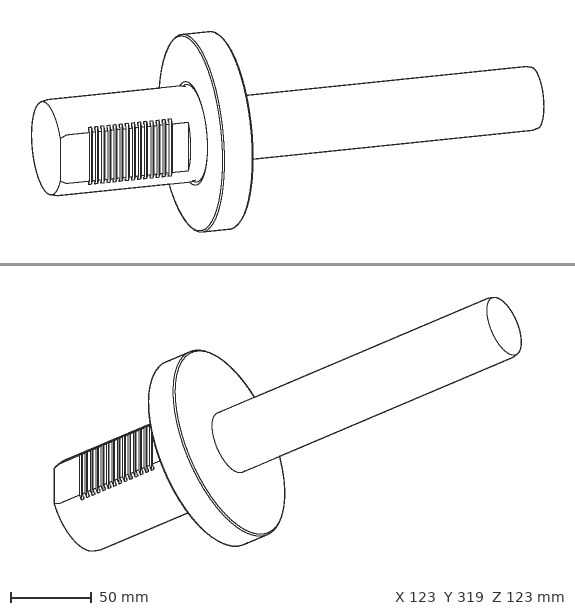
import cadquery as cq
import math

total_length = 319.0
flange_diameter = 123.0
flange_thickness = 20.0
flange_chamfer = 1.0
rod_diameter = 40.0
journal_diameter = 60.0
journal_length = 94.0

rod_taper_length = 3.2
rod_tip_diameter = 38.3
journal_taper_length = 4.0
journal_tip_diameter = 58.0

neck_diameter = 58.7
undercut_length = 3.5
undercut_ramp_angle = math.radians(15)
recess_diameter = 64.5
recess_depth = 0.5
undercut_radius = 1.05

flat_offset = 25.5
flat_length = 84.0
groove_count = 14
groove_width = 2.0
groove_pitch = 2 * groove_width
groove_depth = 2.0
first_groove_distance = 20.0

journal_end = -total_length / 2
rod_end = total_length / 2
flange_front = journal_end + journal_length
flange_back = flange_front + flange_thickness

flange_radius = flange_diameter / 2
rod_radius = rod_diameter / 2
journal_radius = journal_diameter / 2
neck_radius = neck_diameter / 2


def turned_body():
    """Journal, undercut, flange and rod revolved about the Y axis."""
    ramp_length = (journal_radius - neck_radius) / math.tan(undercut_ramp_angle)
    neck_start = flange_front - undercut_length + ramp_length
    recess_bottom = flange_front + recess_depth
    arc_center = (neck_radius + undercut_radius, recess_bottom - undercut_radius)
    arc_reach = undercut_radius * math.cos(math.radians(45))
    return (
        cq.Workplane("XY")
        .moveTo(0, journal_end)
        .lineTo(journal_tip_diameter / 2, journal_end)
        .lineTo(journal_radius, journal_end + journal_taper_length)
        .lineTo(journal_radius, flange_front - undercut_length)
        .lineTo(neck_radius, neck_start)
        .lineTo(neck_radius, arc_center[1])
        .threePointArc(
            (arc_center[0] - arc_reach, arc_center[1] + arc_reach),
            (arc_center[0], recess_bottom),
        )
        .lineTo(recess_diameter / 2, flange_front)
        .lineTo(flange_radius - flange_chamfer, flange_front)
        .lineTo(flange_radius, flange_front + flange_chamfer)
        .lineTo(flange_radius, flange_back - flange_chamfer)
        .lineTo(flange_radius - flange_chamfer, flange_back)
        .lineTo(rod_radius, flange_back)
        .lineTo(rod_radius, rod_end - rod_taper_length)
        .lineTo(rod_tip_diameter / 2, rod_end)
        .lineTo(0, rod_end)
        .close()
        .revolve(360, (0, 0, 0), (0, 1, 0))
    )


def side_cutter(inner_x, start_y, length):
    """Block removing everything on the journal beyond inner_x over a length of Y."""
    block = cq.Workplane("XY").box(
        journal_radius, length, journal_diameter, centered=(False, False, True)
    )
    return block.translate((inner_x, start_y, 0))


result = turned_body().cut(side_cutter(flat_offset, journal_end, flat_length))

for index in range(groove_count):
    groove_center = journal_end + first_groove_distance + index * groove_pitch
    groove_start = groove_center - groove_width / 2
    result = result.cut(side_cutter(flat_offset - groove_depth, groove_start, groove_width))